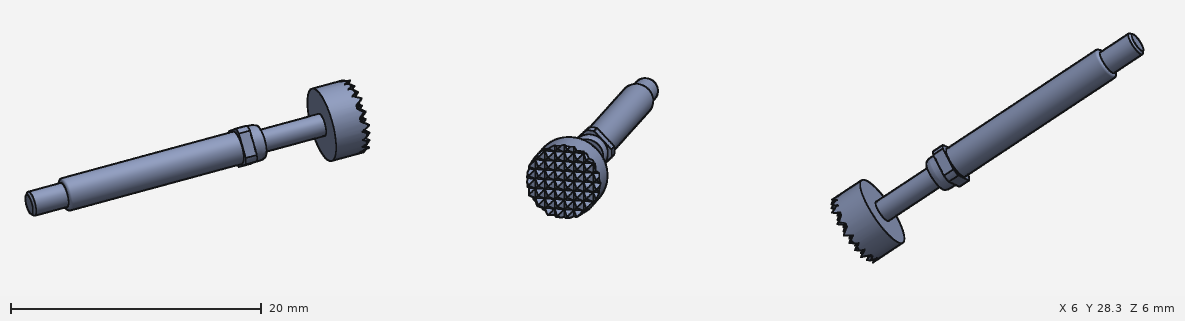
import cadquery as cq
import math

total_length = 28.3

head_diameter = 6.0
head_length = 3.0
tooth_pitch = 0.8
tooth_angle = 60.0
tooth_depth = tooth_pitch / 2 / math.tan(math.radians(tooth_angle / 2))
teeth_across = 8

rod_diameter = 1.85

flange_top = total_length - 9.35
flange_thickness = 0.95
flange_across_flats = 2.97
flange_corner_diameter = 3.6

collar_diameter = 2.95
collar_top = total_length - 8.32
collar_lead_length = 0.45
collar_tip_diameter = 2.7

barrel_diameter = 2.7
barrel_fillet = 0.23
tail_diameter = 2.0
tail_length = 3.0
tail_chamfer = 0.2


def turned_body():
    """Revolve the stepped half-profile, drawn as (radius, Y), about the Y axis."""
    head_radius = head_diameter / 2
    head_base = total_length - head_length
    rod_radius = rod_diameter / 2
    barrel_radius = barrel_diameter / 2
    tail_radius = tail_diameter / 2
    collar_radius = collar_diameter / 2
    collar_shoulder = collar_top - collar_lead_length
    fillet_start = (barrel_radius - barrel_fillet, tail_length)
    fillet_end = (barrel_radius, tail_length + barrel_fillet)
    return (
        cq.Workplane("XY")
        .lineTo(tail_radius - tail_chamfer, 0)
        .lineTo(tail_radius, tail_chamfer)
        .lineTo(tail_radius, tail_length)
        .lineTo(*fillet_start)
        .tangentArcPoint(fillet_end, relative=False)
        .lineTo(barrel_radius, flange_top)
        .lineTo(collar_radius, flange_top)
        .lineTo(collar_radius, collar_shoulder)
        .tangentArcPoint((collar_tip_diameter / 2, collar_top), relative=False)
        .lineTo(rod_radius, collar_top)
        .lineTo(rod_radius, head_base)
        .lineTo(head_radius, head_base)
        .lineTo(head_radius, total_length)
        .lineTo(0, total_length)
        .close()
        .revolve(360, (0, 0, 0), (0, 1, 0))
    )


def square_flange():
    """Square plate standing on its corner, with the corners rounded to a common circle."""
    flange_plane = cq.Workplane("XZ", origin=(0, flange_top, 0))
    corner_round = flange_plane.circle(flange_corner_diameter / 2).extrude(flange_thickness)
    return (
        flange_plane.rect(flange_across_flats, flange_across_flats)
        .extrude(flange_thickness)
        .rotate((0, 0, 0), (0, 1, 0), 45)
        .intersect(corner_round)
    )


def tooth_grooves():
    """V-grooves running along Z, side by side across the head face, meeting in sharp crests."""
    outer_root = teeth_across / 2 * tooth_pitch
    profile = [(-outer_root, total_length - tooth_depth)]
    for tooth in range(teeth_across):
        root = tooth * tooth_pitch - outer_root
        profile.append((root + tooth_pitch / 2, total_length))
        profile.append((root + tooth_pitch, total_length - tooth_depth))
    profile.append((outer_root, total_length + tooth_depth))
    profile.append((-outer_root, total_length + tooth_depth))
    return cq.Workplane("XY").polyline(profile).close().extrude(head_diameter, both=True)


grooves = tooth_grooves()
cross_grooves = grooves.rotate((0, 0, 0), (0, 1, 0), 90)

result = turned_body().union(square_flange()).cut(grooves).cut(cross_grooves)